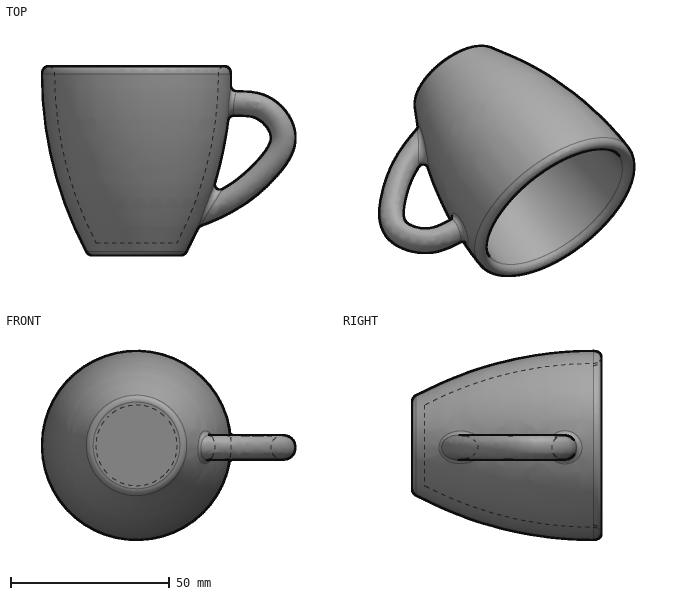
import cadquery as cq
import math

rim_radius = 29.95
cup_height = 60.0
lip_height = 2.5
wall = 4.0
floor = 4.0
foot_radius = 13.7
foot_edge_radius = 15.9
foot_edge_height = 1.3
side_top = cup_height - lip_height

overall_length = 80.3
tube_radius = 3.9
handle_z = -0.65
root_fillet = 1.6
handle_x = overall_length - rim_radius - tube_radius
handle_path = [
    (26.9, 48.2),
    (32.1, 48.2),
    (40.05, 46.7),
    (handle_x, 37.6),
    (41.25, 27.6),
    (30.9, 18.8),
    (16.05, 12.05),
]

flare = rim_radius - foot_edge_radius
side_rise = side_top - foot_edge_height
side_radius = (flare**2 + side_rise**2) / (2 * flare)
side_center_x = rim_radius - side_radius


def side_point(y, inset=0.0):
    """Point on the side arc at height y, moved inwards by inset."""
    radius = side_radius - inset
    return (side_center_x + math.sqrt(radius**2 - (side_top - y) ** 2), y)


def revolve_about_axis(profile):
    return profile.close().revolve(360, (0, 0, 0), (0, 1, 0))


def make_body():
    """Solid cup with a rounded foot edge and a half-elliptical lip."""
    profile = (
        cq.Workplane("XY")
        .lineTo(foot_radius, 0)
        .tangentArcPoint((foot_edge_radius, foot_edge_height), relative=False)
        .threePointArc(side_point(side_top / 2), (rim_radius, side_top))
        .ellipseArc(wall / 2, lip_height, 0, 180, sense=1)
        .lineTo(0, side_top)
    )
    return revolve_about_axis(profile).rotate((0, 0, 0), (0, 1, 0), 180)


def make_cavity():
    """Inside of the cup, one wall thickness within the side."""
    profile = (
        cq.Workplane("XY")
        .moveTo(0, floor)
        .lineTo(*side_point(floor, wall))
        .threePointArc(side_point(side_top / 2, wall), side_point(side_top, wall))
        .lineTo(0, side_top)
    )
    return revolve_about_axis(profile)


def make_handle():
    path = cq.Workplane("XY", origin=(0, 0, handle_z)).spline(handle_path)
    start_x, start_y = handle_path[0]
    section = cq.Workplane("YZ", origin=(start_x, start_y, handle_z)).circle(tube_radius)
    return section.sweep(path)


def root_edges(part):
    """Edges where the handle meets the side: closed loops clear of the cup axis."""
    loops = [edge for edge in part.edges().vals() if edge.IsClosed()]
    return part.newObject([loop for loop in loops if loop.BoundingBox().xmin > foot_radius])


joined = make_body().union(make_handle())
result = root_edges(joined).fillet(root_fillet).cut(make_cavity())